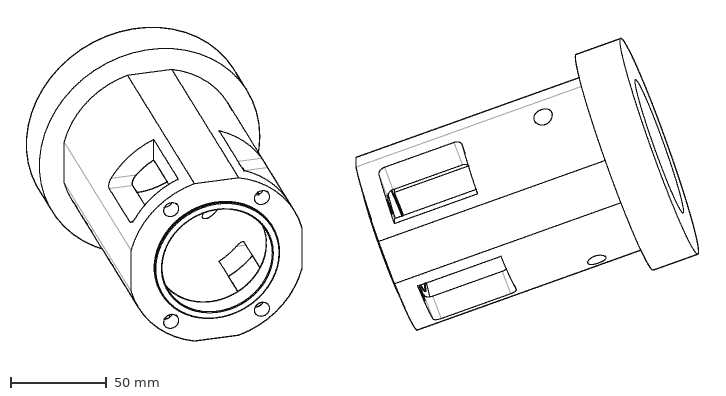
import cadquery as cq

total_length = 153.5
flange_thickness = 24.9
lip_length = 1.5
body_end = total_length - lip_length

flange_diameter = 120.0
body_diameter = 96.1
main_bore_diameter = 74.0
lip_diameter = 68.0
end_bore_diameter = 60.0
edge_chamfer = 0.5

across_flats = 93.0

window_start = 94.7
window_end = 141.0
window_side_y = 17.8
window_side_z = 21.2
window_corner_radius = 3.8

cross_hole_diameter = 10.0
cross_hole_x = 49.7
cross_hole_z = -25.0
axial_hole_diameter = 8.1
axial_hole_y = 24.7
axial_hole_z = 33.0

QUADRANTS = [(1, 1), (1, -1), (-1, 1), (-1, -1)]


def cylinder(diameter, start, end):
    """Cylinder about the X axis between two X positions."""
    return cq.Workplane("YZ", origin=(start, 0, 0)).circle(diameter / 2).extrude(end - start)


def flatted_body():
    """Round barrel with four flats facing +-Y and +-Z."""
    envelope = cq.Workplane("YZ").rect(across_flats, across_flats).extrude(body_end)
    return cylinder(body_diameter, 0, body_end).intersect(envelope)


def window(side_y, side_z):
    """Box opening one quadrant, rounded where its Z side meets its two ends."""
    reach = body_diameter / 2
    box = cq.Workplane("XY").box(
        window_end - window_start,
        reach - window_side_y,
        reach - window_side_z,
        centered=False,
    )
    box = box.edges("|Y and <Z").fillet(window_corner_radius)
    box = box.translate((window_start, window_side_y, window_side_z))
    if side_y < 0:
        box = box.mirror("XZ")
    if side_z < 0:
        box = box.mirror("XY")
    return box


def axial_hole(side_y, side_z):
    """Hole parallel to X from a window through the end wall."""
    hole = cylinder(axial_hole_diameter, window_end, body_end)
    return hole.translate((0, side_y * axial_hole_y, side_z * axial_hole_z))


def cross_hole():
    """Hole parallel to Y through both sides of the barrel."""
    return (
        cq.Workplane("XZ", origin=(cross_hole_x, 0, cross_hole_z))
        .circle(cross_hole_diameter / 2)
        .extrude(body_diameter / 2, both=True)
    )


result = cylinder(flange_diameter, 0, flange_thickness)
result = result.union(flatted_body())
lip = cylinder(lip_diameter, body_end - lip_length, total_length)
result = result.union(lip.faces(">X").chamfer(edge_chamfer))

result = result.cut(cylinder(main_bore_diameter, 0, window_end))
result = result.cut(cylinder(end_bore_diameter, window_end, total_length))
smallest_circles = cq.selectors.RadiusNthSelector(0)
result = result.edges("%CIRCLE").edges(smallest_circles).chamfer(edge_chamfer)

for quadrant in QUADRANTS:
    result = result.cut(window(*quadrant))
    result = result.cut(axial_hole(*quadrant))

result = result.cut(cross_hole())